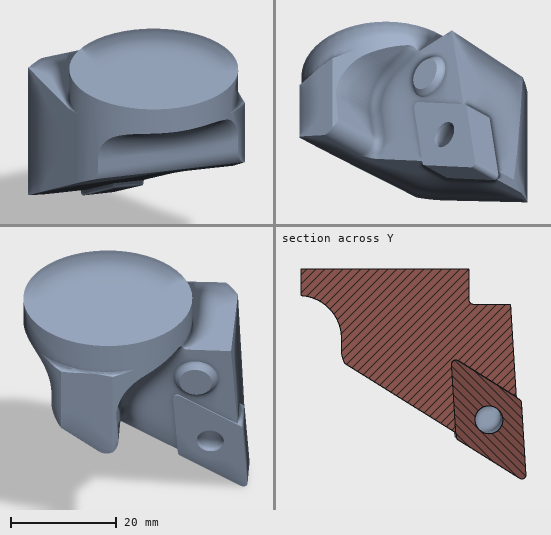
import cadquery as cq
import math

coupling_radius = 16.0
tool_length = 40.0
tip_reach = 26.88
clearance_radius = 27.0

shoulder_depth = 6.7
neck_fillet = 0.75

side_flat_angle = 7.85
back_flat_y = 16.15
back_flat_left_angle = 119.0
back_flat_right_angle = 47.5
block_start_angle = 150.0

insert_angle = 55.0
inscribed_diameter = 12.7
insert_thickness = 6.35
insert_hole_diameter = 5.16
nose_radius = 0.8
nose_centre_y = 0.1

rake_lean_x = 0.119
rake_lean_z = 0.110
edge_lean = 0.049
rake_step = 0.25

flank_inset = 0.10
bottom_inset = 0.12
corner_cut_height = 1.9
corner_cut_width = 1.4

gullet_wall = 21.7
gullet_radius = 8.0
gullet_ceiling = 33.65
gullet_ceiling_angle = 14.0
gullet_fillet = 1.55
gullet_corner_radius = 2.5

boss_along = 26.1
boss_across = 7.2
boss_base_radius = 4.2
boss_top_radius = 3.1
boss_height = 1.2

relief_wall_x = 8.3
relief_radius = 8.0
relief_top_z = -5.15
relief_corner_radius = 5.2
relief_corner_z = -15.4
relief_foot_slope = 31.5

far = 80.0

rake_normal = cq.Vector(-rake_lean_x, 1.0, -rake_lean_z).normalized()
edge_up = cq.Vector(edge_lean, rake_lean_x * edge_lean + rake_lean_z, 1.0).normalized()
nose_centre = cq.Vector(nose_radius - tip_reach, nose_centre_y, nose_radius - tool_length)


def insert_plane(height):
    """Plane parallel to the rake face, at a height along its normal."""
    return cq.Workplane(cq.Plane(nose_centre + rake_normal * height, edge_up, rake_normal))


half_angle = math.radians(insert_angle / 2)
cos_edge = math.cos(math.radians(insert_angle))
sin_edge = math.sin(math.radians(insert_angle))


def bottom_line(distance, inset):
    """Point along the end cutting edge direction, moved up into the head by an inset."""
    return (
        distance * cos_edge + inset * sin_edge,
        distance * sin_edge - inset * cos_edge,
    )


inscribed_radius = inscribed_diameter / 2
nose_to_middle = (inscribed_radius - nose_radius) / math.sin(half_angle)
half_length = inscribed_radius / math.sin(half_angle)
half_width = inscribed_radius / math.cos(half_angle)
middle = (nose_to_middle * math.cos(half_angle), nose_to_middle * math.sin(half_angle))


def rhombus_block(bottom_height, thickness):
    """Rhombus with rounded corners, centred on the insert."""
    return (
        insert_plane(bottom_height)
        .center(*middle)
        .transformed(rotate=(0, 0, insert_angle / 2))
        .polyline([(-half_length, 0), (0, -half_width), (half_length, 0), (0, half_width)])
        .close()
        .extrude(thickness)
        .edges(cq.selectors.ParallelDirSelector(rake_normal))
        .fillet(nose_radius)
    )


insert_hole = (
    insert_plane(-insert_thickness)
    .center(*middle)
    .circle(insert_hole_diameter / 2)
    .extrude(insert_thickness)
)
insert = rhombus_block(-insert_thickness, insert_thickness).cut(insert_hole)



def on_circle(angle):
    """Point on the coupling circle at an angle from +X."""
    a = math.radians(angle)
    return (coupling_radius * math.cos(a), coupling_radius * math.sin(a))


def tangent_corner(angle, y):
    """Point at height y on the line tangent to the coupling circle at an angle."""
    a = math.radians(angle)
    return ((coupling_radius - y * math.sin(a)) / math.cos(a), y)


flat_heading = math.radians(side_flat_angle)
flat_touch = on_circle(side_flat_angle - 90)
flat_end = (
    flat_touch[0] - clearance_radius * math.cos(flat_heading),
    flat_touch[1] - clearance_radius * math.sin(flat_heading),
)
block_start = on_circle(block_start_angle)
footprint = (
    cq.Workplane("XY")
    .workplane(offset=-tool_length)
    .polyline([
        flat_touch,
        on_circle(back_flat_right_angle),
        tangent_corner(back_flat_right_angle, back_flat_y),
        tangent_corner(back_flat_left_angle, back_flat_y),
        on_circle(back_flat_left_angle),
        block_start,
        (-clearance_radius, block_start[1]),
        (-clearance_radius, flat_end[1]),
        flat_end,
    ])
    .close()
    .extrude(tool_length - shoulder_depth + neck_fillet)
)
swing = cq.Workplane("XY").circle(clearance_radius).extrude(-tool_length)
coupling = cq.Workplane("XY").circle(coupling_radius).extrude(-tool_length)

neck_z = neck_fillet - shoulder_depth
neck_centre = (coupling_radius + neck_fillet, neck_z)
neck_middle = (
    neck_centre[0] - neck_fillet * math.sqrt(0.5),
    neck_centre[1] - neck_fillet * math.sqrt(0.5),
)
shoulder_ring = (
    cq.Workplane("XZ")
    .moveTo(coupling_radius, neck_z)
    .threePointArc(neck_middle, (neck_centre[0], -shoulder_depth))
    .lineTo(far, -shoulder_depth)
    .lineTo(far, neck_z)
    .close()
    .revolve(360, (0, 0, 0), (0, 1, 0))
)
blank = coupling.union(footprint.intersect(swing).cut(shoulder_ring))

corner_end_along = (corner_cut_width + bottom_inset * cos_edge) / sin_edge
outline = (
    insert_plane(-far)
    .moveTo(far, flank_inset)
    .lineTo(corner_cut_height, flank_inset)
    .lineTo(*bottom_line(corner_end_along, bottom_inset))
    .lineTo(*bottom_line(far, bottom_inset))
    .close()
    .extrude(2 * far)
)
holder = blank.intersect(outline)

relief_arc_middle = (
    relief_wall_x + relief_radius * (1 - math.sqrt(0.5)),
    relief_top_z - relief_radius * (1 - math.sqrt(0.5)),
)
corner_turn = math.radians(90 - relief_foot_slope)
corner_centre = (relief_wall_x - relief_corner_radius, relief_corner_z)


def on_relief_corner(angle):
    """Point on the rounded lower corner, at an angle down from the wall."""
    return (
        corner_centre[0] + relief_corner_radius * math.cos(angle),
        corner_centre[1] - relief_corner_radius * math.sin(angle),
    )


foot_start = on_relief_corner(corner_turn)
foot_drop = (far + foot_start[0]) * math.tan(math.radians(relief_foot_slope))
foot_end = (-far, foot_start[1] - foot_drop)
relief = (
    cq.Workplane("XZ")
    .moveTo(*foot_end)
    .lineTo(*foot_start)
    .threePointArc(on_relief_corner(corner_turn / 2), (relief_wall_x, relief_corner_z))
    .lineTo(relief_wall_x, relief_top_z - relief_radius)
    .threePointArc(relief_arc_middle, (relief_wall_x + relief_radius, relief_top_z))
    .lineTo(far, relief_top_z)
    .lineTo(far, foot_end[1])
    .close()
    .extrude(far, both=True)
)
holder = holder.cut(relief)



def gullet_profile(plane):
    """Sloping ceiling, hollow arc, flat wall and rounded foot of the gullet."""
    slope = math.radians(gullet_ceiling_angle)
    arc_centre = (gullet_ceiling - gullet_radius, gullet_wall - gullet_radius)
    arc_end = (
        arc_centre[0] + gullet_radius * math.cos(slope),
        arc_centre[1] + gullet_radius * math.sin(slope),
    )
    half_turn = (math.pi / 2 + slope) / 2
    arc_middle = (
        arc_centre[0] + gullet_radius * math.cos(half_turn),
        arc_centre[1] + gullet_radius * math.sin(half_turn),
    )
    ceiling_end = (arc_end[0] + far * math.tan(slope), arc_end[1] - far)
    foot_along = (gullet_wall + bottom_inset * cos_edge) / sin_edge
    setback = gullet_corner_radius / math.tan(half_angle)
    foot = bottom_line(foot_along, bottom_inset)
    round_start = (foot[0] + setback, gullet_wall)
    round_end = bottom_line(foot_along + setback, bottom_inset)
    return (
        plane.moveTo(*arc_end)
        .threePointArc(arc_middle, (arc_centre[0], gullet_wall))
        .lineTo(*round_start)
        .tangentArcPoint(round_end, relative=False)
        .lineTo(-far, round_end[1])
        .lineTo(-far, ceiling_end[1])
        .lineTo(*ceiling_end)
        .close()
    )


gullet_floor = cq.selectors.DirectionMinMaxSelector(rake_normal, False)
gullet = gullet_profile(insert_plane(-rake_step)).extrude(far)
gullet = gullet.faces(gullet_floor).edges().fillet(gullet_fillet)
holder = holder.cut(gullet)

boss = (
    insert_plane(-rake_step)
    .center(boss_along, boss_across)
    .circle(boss_base_radius)
    .workplane(offset=boss_height)
    .circle(boss_top_radius)
    .loft()
)
holder = holder.union(boss)

holder = holder.cut(rhombus_block(-insert_thickness, far))

result = cq.Compound.makeCompound([holder.val(), insert.val()])